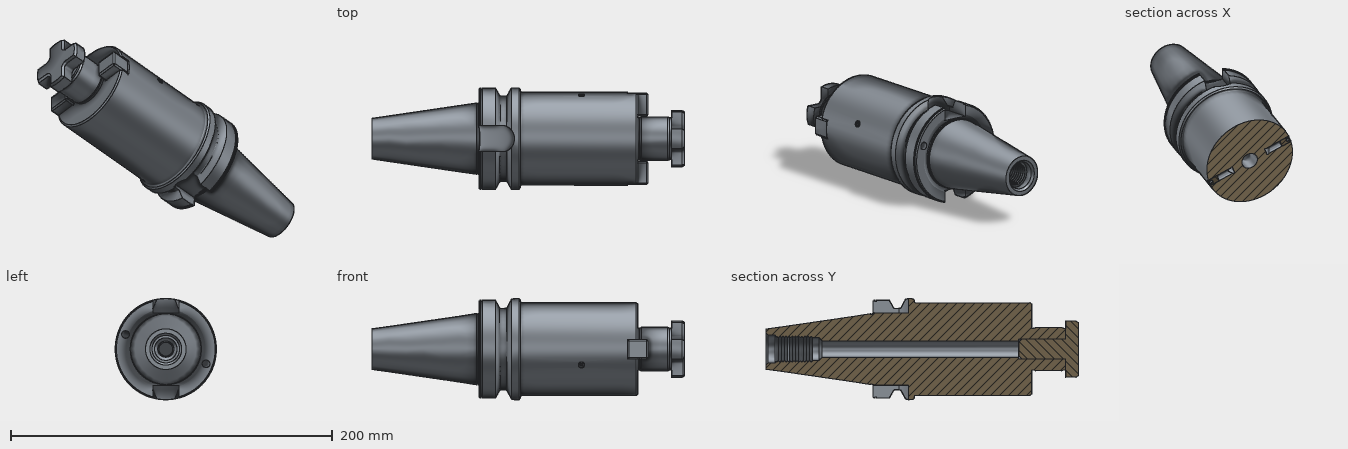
import cadquery as cq
import math


OVERALL_LENGTH = 194.4

TAPER_LENGTH = 65.0
TAPER_SMALL_RADIUS = 12.6
TAPER_LARGE_RADIUS = 22.2
TAPER_NECK_RADIUS = 21.8
TAPER_NECK_LENGTH = 1.0
FLANGE_FACE_X = 66.5
FLANGE_RADIUS = 31.5
FLANGE_FRONT_CHAMFER = 0.8
RIM_GROOVE_START_X = 67.8
RIM_GROOVE_WIDTH = 0.8
RIM_GROOVE_DEPTH = 0.5
RELIEF_RADIUS = 24.9
RELIEF_DEPTH = 0.5
GRIP_GROOVE_RADIUS = 26.6
GRIP_GROOVE_FILLET = 0.5
GRIP_FLANK_ANGLE = math.radians(60)
GRIP_GROOVE_START_X = 76.8
GRIP_GROOVE_END_X = 86.7
GRIP_FLANK_LENGTH = (FLANGE_RADIUS - GRIP_GROOVE_RADIUS) / math.tan(GRIP_FLANK_ANGLE)
FLANGE_END_X = 92.3
FLANGE_REAR_CHAMFER = 1.0

BODY_RADIUS = 29.0
BODY_END_X = 165.2
BODY_CHAMFER = 1.0
BODY_ROOT_FILLET = 0.8
SPIGOT_RADIUS = 13.6
SPIGOT_NECK_RADIUS = 13.0
SPIGOT_NECK_LENGTH = 1.2
SPIGOT_ROOT_TAPER = 1.2
SPIGOT_END_X = 186.2
SPIGOT_LEAD_LENGTH = 1.4
SPIGOT_TIP_LENGTH = 1.2

KEYWAY_WIDTH = 16.1
KEYWAY_FLOOR_RADIUS = 22.5
KEYWAY_ARC_START_X = 82.6
KEYWAY_END_X = 88.6

BORE_MOUTH_RADIUS = 10.0
COUNTERBORE_RADIUS = 8.5
COUNTERBORE_DEPTH = 5.8
THREAD_BORE_RADIUS = 7.0
THREAD_BORE_DEPTH = 33.0
THREAD_MAJOR_RADIUS = 8.0
THREAD_PITCH = 2.0
THREAD_GROOVES = 12
THROUGH_BORE_RADIUS = 5.0

KEY_WIDTH = 12.0
KEY_INNER_RADIUS = 14.0
KEY_OUTER_RADIUS = 28.4
KEY_START_X = 158.8
KEY_END_X = 171.7
KEY_CHAMFER = 1.0

SCREW_HEAD_RADIUS = 17.5
SCREW_HEAD_LENGTH = OVERALL_LENGTH - SPIGOT_END_X
SCREW_HEAD_CHAMFER_LENGTH = 1.5
SCREW_HEAD_CHAMFER_DEPTH = 1.0
SCREW_ARM_WIDTH = 12.0
SCREW_ARM_CORNER_RADIUS = 3.0
SCREW_SHANK_RADIUS = 6.0
SCREW_SHANK_LENGTH = 29.2
SCREW_TAIL_CHAMFER = 1.7
SCREW_TAIL_X = SPIGOT_END_X - SCREW_SHANK_LENGTH

PASSAGE_ANGLES = (20.0, 200.0)
PASSAGE_RADIUS = 2.3
PASSAGE_MOUTH_RADIUS = 26.6
PASSAGE_END_RADIUS = 11.7
SET_SCREW_X = 130.2
SET_SCREW_RADIUS = 2.0
SET_SCREW_TOP_RADIUS = 28.4
SET_SCREW_LENGTH = 6.0
SET_SCREW_HEX_WIDTH = 2.0
SET_SCREW_HEX_DEPTH = 2.0

def axial_plane(x):
    """Plane square to the axis, facing +X, with its local axes along Y and Z."""
    return cq.Plane(origin=(x, 0, 0), xDir=(0, 1, 0), normal=(1, 0, 0))

def revolve_about_axis(outline):
    """Revolve a closed (x, radius) outline about the X axis."""
    return outline.close().revolve(360, (0, 0, 0), (1, 0, 0))

def cylinder_between(start, end, radius):
    """Straight round cylinder from one point to another."""
    axis = cq.Vector(*end) - cq.Vector(*start)
    return cq.Workplane(cq.Solid.makeCylinder(radius, axis.Length, cq.Vector(*start), axis))

def polar_point(x, radius, angle):
    """Point at a station along the axis; the angle turns from +Y toward +Z."""
    turn = math.radians(angle)
    return (x, radius * math.cos(turn), radius * math.sin(turn))

def ring(start_x, length, inner_radius, outer_radius):
    """Square-sectioned ring around the X axis."""
    return cq.Workplane(axial_plane(start_x)).circle(outer_radius).circle(inner_radius).extrude(length)

def rim_groove():
    floor_radius = FLANGE_RADIUS - RIM_GROOVE_DEPTH
    return ring(RIM_GROOVE_START_X, RIM_GROOVE_WIDTH, floor_radius, FLANGE_RADIUS)

def holder_blank():
    neck_end_x = TAPER_LENGTH + TAPER_NECK_LENGTH
    relief_bottom_x = FLANGE_FACE_X + RELIEF_DEPTH
    floor_start_x = GRIP_GROOVE_START_X + GRIP_FLANK_LENGTH
    floor_end_x = GRIP_GROOVE_END_X - GRIP_FLANK_LENGTH
    fillet_tangent = GRIP_GROOVE_FILLET * math.tan(GRIP_FLANK_ANGLE / 2)
    fillet_run = fillet_tangent * math.cos(GRIP_FLANK_ANGLE)
    fillet_top_radius = GRIP_GROOVE_RADIUS + fillet_tangent * math.sin(GRIP_FLANK_ANGLE)
    rear_edge_radius = FLANGE_RADIUS - FLANGE_REAR_CHAMFER
    spigot_neck_end_x = BODY_END_X + SPIGOT_NECK_LENGTH
    tip_start_x = SPIGOT_END_X - SPIGOT_TIP_LENGTH
    outline = (
        cq.Workplane("XY")
        .moveTo(0, 0)
        .lineTo(0, TAPER_SMALL_RADIUS)
        .lineTo(TAPER_LENGTH, TAPER_LARGE_RADIUS)
        .lineTo(TAPER_LENGTH, TAPER_NECK_RADIUS)
        .lineTo(neck_end_x, TAPER_NECK_RADIUS)
        .lineTo(neck_end_x, TAPER_LARGE_RADIUS)
        .lineTo(relief_bottom_x, TAPER_LARGE_RADIUS)
        .lineTo(FLANGE_FACE_X, RELIEF_RADIUS)
        .lineTo(FLANGE_FACE_X, FLANGE_RADIUS - FLANGE_FRONT_CHAMFER)
        .lineTo(FLANGE_FACE_X + FLANGE_FRONT_CHAMFER, FLANGE_RADIUS)
        .lineTo(GRIP_GROOVE_START_X, FLANGE_RADIUS)
        .lineTo(floor_start_x - fillet_run, fillet_top_radius)
        .radiusArc((floor_start_x + fillet_tangent, GRIP_GROOVE_RADIUS), -GRIP_GROOVE_FILLET)
        .lineTo(floor_end_x - fillet_tangent, GRIP_GROOVE_RADIUS)
        .radiusArc((floor_end_x + fillet_run, fillet_top_radius), -GRIP_GROOVE_FILLET)
        .lineTo(GRIP_GROOVE_END_X, FLANGE_RADIUS)
        .lineTo(FLANGE_END_X - FLANGE_REAR_CHAMFER, FLANGE_RADIUS)
        .lineTo(FLANGE_END_X, rear_edge_radius)
        .lineTo(FLANGE_END_X, BODY_RADIUS + BODY_ROOT_FILLET)
        .radiusArc((FLANGE_END_X + BODY_ROOT_FILLET, BODY_RADIUS), -BODY_ROOT_FILLET)
        .lineTo(BODY_END_X - BODY_CHAMFER, BODY_RADIUS)
        .lineTo(BODY_END_X, BODY_RADIUS - BODY_CHAMFER)
        .lineTo(BODY_END_X, SPIGOT_NECK_RADIUS)
        .lineTo(spigot_neck_end_x, SPIGOT_NECK_RADIUS)
        .lineTo(spigot_neck_end_x + SPIGOT_ROOT_TAPER, SPIGOT_RADIUS)
        .lineTo(tip_start_x - SPIGOT_LEAD_LENGTH, SPIGOT_RADIUS)
        .lineTo(tip_start_x, SPIGOT_NECK_RADIUS)
        .lineTo(SPIGOT_END_X, SPIGOT_NECK_RADIUS)
        .lineTo(SPIGOT_END_X, 0)
    )
    return revolve_about_axis(outline).cut(rim_groove())

def stud_bore():
    mouth_depth = BORE_MOUTH_RADIUS - COUNTERBORE_RADIUS
    cone_end_x = THREAD_BORE_DEPTH + THREAD_BORE_RADIUS - THROUGH_BORE_RADIUS
    outline = (
        cq.Workplane("XY")
        .moveTo(0, 0)
        .lineTo(0, BORE_MOUTH_RADIUS)
        .lineTo(mouth_depth, COUNTERBORE_RADIUS)
        .lineTo(COUNTERBORE_DEPTH, COUNTERBORE_RADIUS)
        .lineTo(COUNTERBORE_DEPTH, THREAD_BORE_RADIUS)
    )
    for groove in range(THREAD_GROOVES):
        groove_x = COUNTERBORE_DEPTH + groove * THREAD_PITCH
        outline = (
            outline.lineTo(groove_x + THREAD_PITCH / 2, THREAD_MAJOR_RADIUS)
            .lineTo(groove_x + THREAD_PITCH, THREAD_BORE_RADIUS)
        )
    outline = (
        outline.lineTo(THREAD_BORE_DEPTH, THREAD_BORE_RADIUS)
        .lineTo(cone_end_x, THROUGH_BORE_RADIUS)
        .lineTo(SCREW_TAIL_X, THROUGH_BORE_RADIUS)
        .lineTo(SCREW_TAIL_X, 0)
    )
    return revolve_about_axis(outline)

def keyway(side):
    """Round-ended slot through the flange; side is +1 for +Z and -1 for -Z."""
    half_width = KEYWAY_WIDTH / 2
    return (
        cq.Workplane("XY")
        .workplane(offset=side * KEYWAY_FLOOR_RADIUS)
        .moveTo(TAPER_LENGTH, -half_width)
        .lineTo(KEYWAY_ARC_START_X, -half_width)
        .threePointArc((KEYWAY_END_X, 0), (KEYWAY_ARC_START_X, half_width))
        .lineTo(TAPER_LENGTH, half_width)
        .close()
        .extrude(side * (FLANGE_RADIUS - KEYWAY_FLOOR_RADIUS))
    )

def key_block(side, outer_radius):
    """Block on the +Y side (side = +1) or the -Y side (side = -1), reaching out to outer_radius."""
    return cq.Workplane("XY").box(
        KEY_END_X - KEY_START_X, outer_radius - KEY_INNER_RADIUS, KEY_WIDTH
    ).translate(((KEY_START_X + KEY_END_X) / 2, side * (outer_radius + KEY_INNER_RADIUS) / 2, 0))

def coolant_passage(angle):
    """Slanted hole from the flange face to the inner end of a radial hole."""
    mouth = polar_point(FLANGE_FACE_X, PASSAGE_MOUTH_RADIUS, angle)
    inner_end = polar_point(SET_SCREW_X, PASSAGE_END_RADIUS, angle)
    slant = cq.Vector(*inner_end) - cq.Vector(*mouth)
    before_mouth = cq.Vector(*mouth) - slant.normalized() * PASSAGE_RADIUS
    slanted_hole = cylinder_between(before_mouth.toTuple(), inner_end, PASSAGE_RADIUS)
    radial_hole = cylinder_between(
        inner_end, polar_point(SET_SCREW_X, FLANGE_RADIUS, angle), SET_SCREW_RADIUS
    )
    return slanted_hole.union(radial_hole)

def make_holder():
    screw_hole = cylinder_between((SCREW_TAIL_X, 0, 0), (SPIGOT_END_X, 0, 0), SCREW_SHANK_RADIUS)
    holder = holder_blank().cut(stud_bore()).cut(screw_hole)
    for side in (1, -1):
        holder = holder.cut(keyway(side)).cut(key_block(side, FLANGE_RADIUS))
    for angle in PASSAGE_ANGLES:
        holder = holder.cut(coolant_passage(angle))
    return holder

def make_drive_key(side):
    return key_block(side, KEY_OUTER_RADIUS).edges().chamfer(KEY_CHAMFER)

def make_retaining_screw():
    head_plane = axial_plane(SPIGOT_END_X)
    arm_span = 2 * SCREW_HEAD_RADIUS
    disc = cq.Workplane(head_plane).circle(SCREW_HEAD_RADIUS).extrude(SCREW_HEAD_LENGTH)
    arms_along_y = cq.Workplane(head_plane).rect(arm_span, SCREW_ARM_WIDTH).extrude(SCREW_HEAD_LENGTH)
    arms_along_z = cq.Workplane(head_plane).rect(SCREW_ARM_WIDTH, arm_span).extrude(SCREW_HEAD_LENGTH)
    corner_box = cq.selectors.BoxSelector(
        (SPIGOT_END_X, -SCREW_ARM_WIDTH, -SCREW_ARM_WIDTH),
        (OVERALL_LENGTH, SCREW_ARM_WIDTH, SCREW_ARM_WIDTH),
    )
    head = (
        arms_along_y.union(arms_along_z)
        .edges("|X")
        .edges(corner_box)
        .fillet(SCREW_ARM_CORNER_RADIUS)
        .intersect(disc)
        .faces(">X")
        .chamfer(SCREW_HEAD_CHAMFER_DEPTH, SCREW_HEAD_CHAMFER_LENGTH)
    )
    shank = (
        cylinder_between((SCREW_TAIL_X, 0, 0), (SPIGOT_END_X, 0, 0), SCREW_SHANK_RADIUS)
        .faces("<X")
        .chamfer(SCREW_TAIL_CHAMFER)
    )
    return head.union(shank)

def make_set_screw(angle):
    """Headless screw with a hexagon socket facing outward."""
    outer_end = cq.Plane(
        origin=polar_point(SET_SCREW_X, SET_SCREW_TOP_RADIUS, angle),
        xDir=(1, 0, 0),
        normal=polar_point(0, 1, angle),
    )
    shank = cq.Workplane(outer_end).circle(SET_SCREW_RADIUS).extrude(-SET_SCREW_LENGTH)
    hexagon_diameter = SET_SCREW_HEX_WIDTH / math.cos(math.radians(30))
    socket = cq.Workplane(outer_end).polygon(6, hexagon_diameter).extrude(-SET_SCREW_HEX_DEPTH)
    return shank.cut(socket)

holder = make_holder()
drive_keys = [make_drive_key(side) for side in (1, -1)]
retaining_screw = make_retaining_screw()
set_screws = [make_set_screw(angle) for angle in PASSAGE_ANGLES]

result = cq.Compound.makeCompound(
    [
        holder.val(),
        *[key.val() for key in drive_keys],
        retaining_screw.val(),
        *[screw.val() for screw in set_screws],
    ]
)